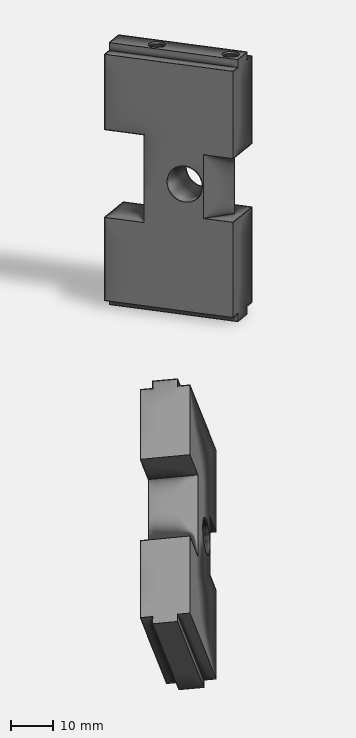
import cadquery as cq
import math

WIDTH = 33.0
THICKNESS = 12.0
HEIGHT = 66.0

TONGUE_HEIGHT = 2.0
TONGUE_THICKNESS = THICKNESS / 2

WAIST_Z = 34.0
LEFT_NOTCH_DEPTH = 10.1
LEFT_NOTCH_HEIGHT = 22.1
RIGHT_NOTCH_DEPTH = 7.6
RIGHT_NOTCH_HEIGHT = 16.05
RIDGE_RECESS = 2.05
CROSS_HOLE_X = 20.6
CROSS_HOLE_DIAMETER = 9.05

TOP_HOLE_XS = (11.0, 29.95)
TOP_HOLE_DIAMETER = 3.3
TOP_HOLE_DEPTH = 11.9
COUNTERSINK_DIAMETER = 4.1
DRILL_TIP_ANGLE = 118.0
COUNTERSINK_ANGLE = 90.0


def make_block():
    """Block with a narrower full-width tongue at each end."""
    shoulder_height = HEIGHT - 2 * TONGUE_HEIGHT
    body = cq.Workplane("XY").box(WIDTH, THICKNESS, shoulder_height)
    tongues = cq.Workplane("XY").box(WIDTH, TONGUE_THICKNESS, HEIGHT)
    return body.union(tongues).translate((WIDTH / 2, THICKNESS / 2, HEIGHT / 2))


def make_left_notch():
    """Rectangular notch through the full thickness."""
    notch = cq.Workplane("XY").box(LEFT_NOTCH_DEPTH, THICKNESS, LEFT_NOTCH_HEIGHT)
    return notch.translate((LEFT_NOTCH_DEPTH / 2, THICKNESS / 2, WAIST_Z))


def make_right_notch():
    """Notch whose floor is a symmetric vertical ridge, set back from the right side."""
    floor_x = WIDTH - RIGHT_NOTCH_DEPTH
    return (
        cq.Workplane("XY", origin=(0, 0, WAIST_Z - RIGHT_NOTCH_HEIGHT / 2))
        .moveTo(WIDTH, 0)
        .lineTo(floor_x, 0)
        .lineTo(WIDTH - RIDGE_RECESS, THICKNESS / 2)
        .lineTo(floor_x, THICKNESS)
        .lineTo(WIDTH, THICKNESS)
        .close()
        .extrude(RIGHT_NOTCH_HEIGHT)
    )


def make_cross_hole():
    """Round hole along Y through the waist."""
    return (
        cq.Workplane("XZ", origin=(CROSS_HOLE_X, 0, WAIST_Z))
        .circle(CROSS_HOLE_DIAMETER / 2)
        .extrude(-THICKNESS)
    )


def make_top_hole(x):
    """Revolved cutter: countersink, straight bore and conical drill tip."""
    bore_radius = TOP_HOLE_DIAMETER / 2
    rim_radius = COUNTERSINK_DIAMETER / 2
    countersink_depth = (rim_radius - bore_radius) / math.tan(math.radians(COUNTERSINK_ANGLE / 2))
    tip_length = bore_radius / math.tan(math.radians(DRILL_TIP_ANGLE / 2))
    return (
        cq.Workplane("XZ", origin=(x, THICKNESS / 2, HEIGHT))
        .lineTo(rim_radius, 0)
        .lineTo(bore_radius, -countersink_depth)
        .lineTo(bore_radius, -TOP_HOLE_DEPTH)
        .lineTo(0, -TOP_HOLE_DEPTH - tip_length)
        .close()
        .revolve(360, (0, 0, 0), (0, 1, 0))
    )


result = make_block().cut(make_left_notch()).cut(make_right_notch()).cut(make_cross_hole())
for hole_x in TOP_HOLE_XS:
    result = result.cut(make_top_hole(hole_x))